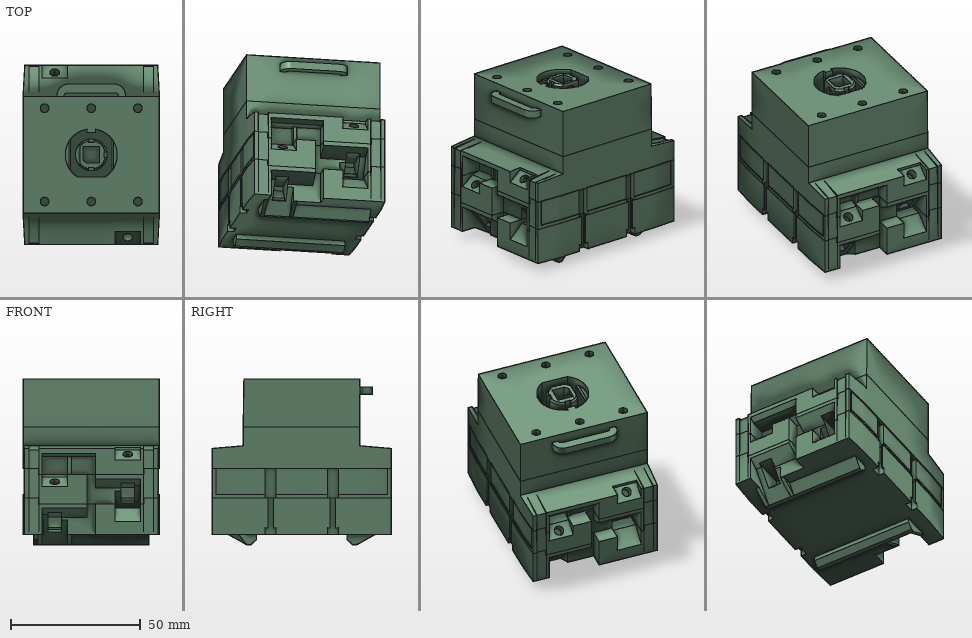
import cadquery as cq

WIDTH = 52.5
LENGTH = 69.2
HALF_X = WIDTH / 2
HALF_Y = LENGTH / 2
END_HALF_X = 25.7
DRAFT_START_Y = 24.1

BASE_TOP = 14.1
PITCH = 11.3
MIDDLE_TOP = BASE_TOP + PITCH
HOUSING_TOP = 41.4
HEAD_TOP = 60.1
OVERCUT = 3.45

BLEND_START_Y = 23.25
BLEND_END_Y = 24.9
NECK_FRONT_Y = 22.6
REAR_Y = 22.4
SHOULDER_EDGE_Z = 33.2
SHOULDER_NECK_Z = 34.25
HEAD_FRONT_TOP_Y = 22.35

TONGUE_HALF_X = 20.4
TONGUE_DROP = 2.3
TONGUE_BACK_Y = 24.9
STRIP_X = (20.15, 24.1)
STRIP_DEPTH = 0.55
STRIP_BOTTOM = 1.1
STRIP_BACK_Y = 24.1

POLE_X = (9.1, 19.0)
DIVIDER_HALF_X = 1.6
WALL_Y = 28.8

LINTEL_Z = 10.2
CEILING_SLOPE = 0.61
WALL_PART_X = (1.5, 11.4)
FUNNEL_FOOT_Y = 24.35
FUNNEL_SLOPE = 1.25

WIRE_HOLE_X = (11.4, 16.7)
WIRE_HOLE_Z = (0.9, 8.6)
WIRE_SILL = (22.85, 1.95)
WIRE_RAMP_FOOT_Z = 2.8
WIRE_RAMP_TOP = (19.4, 6.8)

RAMP_BACK_Y = 29.6
SCREW_RADIUS = 1.8
SCREW_DEPTH = 4.15
MIDDLE_SCREW_SHARE = 0.48
HOUSING_SCREW_SHARE = 0.57
BASE_SHELF = (28.6, 10.3)
BASE_RAMP_FRONT_Z = 5.05
BASE_SHELF_BACK_Y = 23.5
MIDDLE_RAMP_Z = (18.6, 22.3)
MIDDLE_SHELF_BACK_Y = 26.0
HOUSING_RAMP_Z = (28.7, 32.65)

RECESS_CEILING_Z = (31.35, 30.0)
HOUSING_WALL_Y = 27.95
RIB_WIDTH = 1.45
RIB_PROUD = 0.55

SLOT_Y = 12.0
SLOT_WIDTH = 4.2
SLOT_DEPTH = 2.4
SLOT_MOUTH = 2.0
SLOT_SKIN = 0.55
SLOT_OPEN_Z = 2.55
PANEL_DEPTH = 0.35
PANEL_BOTTOM = 15.5
PANEL_HALF_Y = 33.0

HOOK_DROP = 4.0
HOOK_TIP_Y = 19.6
HOOK_INNER = (17.4, -1.9)
HOOK_RIB_Y = 28.4
HOOK_FAR_X = 22.2

BOLT_PITCH = 18.0
BOLT_RADIUS = 1.65
BOLT_DEPTH = 6.9
WELL_RADIUS = 10.0
WELL_DEPTH = 13.85
WELL_FLAT_Y = 8.6
KEY_WIDTH = 3.2
LEDGE_X = (7.95, 8.65)
LEDGE_DROP = (3.45, 2.9)

SHAFT_RADIUS = 6.1
SHAFT_EDGE = (0.6, 0.8)
SHAFT_FLAT_X = 4.4
SHAFT_FORM_DEPTH = 6.9
NOTCH_WIDTH = 2.2
NOTCH_FLOOR = 4.85
SOCKET_SIDE = 6.4
SOCKET_CORNER = 1.4
SOCKET_DEPTH = 10.4
GRUB_HOLE_RADIUS = 2.35
GRUB_HOLE_DROP = 3.95

HASP_HALF_X = 13.15
HASP_OUTER_Y = 27.25
HASP_INNER_HALF_X = 10.6
HASP_INNER_Y = 23.9
HASP_Z = (54.05, 56.95)
HASP_OUTER_R = 4.15
HASP_INNER_R = 1.4


def box(x, y, z):
    """Box between pairs of limits."""
    size = (x[1] - x[0], y[1] - y[0], z[1] - z[0])
    return cq.Workplane("XY").box(*size, centered=False).translate((x[0], y[0], z[0]))


def prism_x(x, points):
    """Profile of (y, z) points carried along X between two limits."""
    return cq.Workplane("YZ", origin=(x[0], 0, 0)).polyline(points).close().extrude(x[1] - x[0])


def left(span):
    """X limits on the -X side for a span of distances from the middle plane."""
    return (-span[1], -span[0])


def half_turn(shape):
    """Shape turned half round the Z axis."""
    return shape.rotate((0, 0, 0), (0, 0, 1), 180)


def cut_both_ends(body, *cutters):
    """Cut features given for the -Y end, and again at the +Y end turned half round."""
    for cutter in cutters:
        body = body.cut(cutter).cut(half_turn(cutter))
    return body


def join_both_ends(body, *parts):
    for part in parts:
        body = body.union(part).union(half_turn(part))
    return body


def drafted_block(z, inset=0.0):
    """Module block whose side walls draft inwards near both ends."""
    side = HALF_X - inset
    end = END_HALF_X - inset
    side_line = [(end, -HALF_Y), (side, -DRAFT_START_Y), (side, DRAFT_START_Y), (end, HALF_Y)]
    outline = side_line + [(-x, -y) for x, y in side_line]
    return cq.Workplane("XY").workplane(offset=z[0]).polyline(outline).close().extrude(z[1] - z[0])


def blended_block(z):
    """Like the drafted block, with a narrow flat strip at each bend of the side walls."""
    draft = (HALF_X - END_HALF_X) / (HALF_Y - DRAFT_START_Y)
    blend_x = HALF_X - draft * (BLEND_END_Y - DRAFT_START_Y)
    bends = [(HALF_X, BLEND_START_Y), (blend_x, BLEND_END_Y), (END_HALF_X, HALF_Y)]
    side_line = [(x, -y) for x, y in reversed(bends)] + bends
    outline = side_line + [(-x, -y) for x, y in side_line]
    return cq.Workplane("XY").workplane(offset=z[0]).polyline(outline).close().extrude(z[1] - z[0])


def funnel_y(z):
    """Y of the sloping funnel face of the base at height z."""
    return -FUNNEL_FOOT_Y - z / FUNNEL_SLOPE


def tongue(module_bottom):
    """Lip below a module, at the -Y end."""
    x = (-TONGUE_HALF_X, TONGUE_HALF_X)
    return box(x, (-HALF_Y, -TONGUE_BACK_Y), (module_bottom - TONGUE_DROP, module_bottom))


def label_strip(x):
    """Groove over end face and shoulder, deepest at the shoulder edge and fading out both ways."""
    slope = (SHOULDER_NECK_Z - SHOULDER_EDGE_Z) / (HALF_Y - NECK_FRONT_Y)
    back_z = SHOULDER_EDGE_Z + slope * (HALF_Y - STRIP_BACK_Y)
    return prism_x(x, [
        (-HALF_Y, STRIP_BOTTOM), (-HALF_Y + STRIP_DEPTH, SHOULDER_EDGE_Z - STRIP_DEPTH),
        (-STRIP_BACK_Y, back_z), (-STRIP_BACK_Y, HOUSING_TOP), (-HALF_Y, HOUSING_TOP),
    ])


def label_strips():
    return label_strip(STRIP_X).union(label_strip(left(STRIP_X)))


def divider_groove(z):
    return box((-DIVIDER_HALF_X, DIVIDER_HALF_X), (-HALF_Y, -WALL_Y), z)


def wire_recess(bottom):
    """Wire recess of the base: sloping ceiling, plain wall part, funnel and wire hole."""
    wall_ceiling_z = LINTEL_Z - CEILING_SLOPE * (HALF_Y - WALL_Y)
    wall_part = prism_x(left(WALL_PART_X), [
        (-HALF_Y, bottom), (-HALF_Y, LINTEL_Z), (-WALL_Y, wall_ceiling_z), (-WALL_Y, bottom),
    ])
    funnel_gap = HALF_Y - FUNNEL_FOOT_Y - LINTEL_Z / FUNNEL_SLOPE
    meet_depth = funnel_gap / (1 - CEILING_SLOPE / FUNNEL_SLOPE)
    meet_z = LINTEL_Z - CEILING_SLOPE * meet_depth
    funnel = prism_x(left(POLE_X), [
        (-HALF_Y, bottom), (-HALF_Y, LINTEL_Z), (funnel_y(meet_z), meet_z), (funnel_y(bottom), bottom),
    ])
    low, high = WIRE_HOLE_Z
    sill_y, sill_z = WIRE_SILL
    ramp_y, ramp_z = WIRE_RAMP_TOP
    wire_hole = prism_x(left(WIRE_HOLE_X), [
        (funnel_y(low), low), (-sill_y, sill_z), (-sill_y, WIRE_RAMP_FOOT_Z), (-ramp_y, ramp_z),
        (-ramp_y, high), (-HALF_Y + (LINTEL_Z - high) / CEILING_SLOPE, high),
    ])
    return wall_part.union(funnel).union(wire_hole)


def screw_hole(x, ramp_z, share):
    """Hole square to a screw ramp, at a share of the way up it."""
    run = HALF_Y - RAMP_BACK_Y
    rise = ramp_z[1] - ramp_z[0]
    mouth = cq.Vector(x, -HALF_Y + share * run, ramp_z[0] + share * rise)
    inward = cq.Vector(0, rise, -run).normalized()
    start = mouth - inward * SCREW_RADIUS
    return cq.Workplane(cq.Solid.makeCylinder(SCREW_RADIUS, SCREW_DEPTH + SCREW_RADIUS, start, inward))


def side_slot(y, z):
    """Slot in the -X side wall."""
    return box((-HALF_X - OVERCUT, -HALF_X + SLOT_DEPTH), (y - SLOT_WIDTH / 2, y + SLOT_WIDTH / 2), z)


def undercut_slot(y):
    """Slot of the base, closed by a skin with a narrow mouth above its foot."""
    skin_x = (-HALF_X, -HALF_X + SLOT_SKIN)
    skin = box(skin_x, (y - SLOT_WIDTH / 2, y + SLOT_WIDTH / 2), (SLOT_OPEN_Z, BASE_TOP))
    mouth = box(skin_x, (y - SLOT_MOUTH / 2, y + SLOT_MOUTH / 2), (SLOT_OPEN_Z, BASE_TOP))
    return side_slot(y, (0, BASE_TOP)).cut(skin.cut(mouth))


def rail_hook():
    """Hook under the base, with two ribs carrying on the sides of the wire funnel."""
    def profile(outer_y):
        return [
            (outer_y, 0), (funnel_y(-HOOK_DROP), -HOOK_DROP), (-HOOK_TIP_Y, -HOOK_DROP),
            (-HOOK_INNER[0], HOOK_INNER[1]), (-HOOK_INNER[0], 0),
        ]
    hook = prism_x((-POLE_X[1] - RIB_WIDTH, HOOK_FAR_X), profile(-FUNNEL_FOOT_Y))
    for x in (-POLE_X[1] - RIB_WIDTH, -POLE_X[0]):
        hook = hook.union(prism_x((x, x + RIB_WIDTH), profile(-HOOK_RIB_Y)))
    return hook


def base_ramp():
    shelf_y, shelf_z = BASE_SHELF
    return prism_x(POLE_X, [
        (-HALF_Y, BASE_RAMP_FRONT_Z), (-shelf_y, shelf_z), (-BASE_SHELF_BACK_Y, shelf_z),
        (-BASE_SHELF_BACK_Y, BASE_TOP), (-HALF_Y, BASE_TOP),
    ])


def make_base():
    base = blended_block((0, BASE_TOP))
    base = cut_both_ends(
        base, tongue(BASE_TOP), label_strips(), divider_groove((0, BASE_TOP)), wire_recess(0), base_ramp(),
    )
    base = cut_both_ends(base, undercut_slot(-SLOT_Y), undercut_slot(SLOT_Y))
    return join_both_ends(base, rail_hook())


def funnel_foot():
    """Lower end of the middle funnel, resting on the shelf of the base."""
    return box(POLE_X, (-BASE_SHELF[0], -BASE_SHELF_BACK_Y), (BASE_SHELF[1], BASE_TOP))


def side_panels():
    z = (PANEL_BOTTOM, MIDDLE_TOP)
    reach = HALF_X + OVERCUT
    band = box((-reach, reach), (-PANEL_HALF_Y, PANEL_HALF_Y), z)
    return band.cut(drafted_block(z, PANEL_DEPTH))


def middle_ramp():
    front_z, back_z = MIDDLE_RAMP_Z
    shelf_end_z = MIDDLE_TOP - TONGUE_DROP
    return prism_x(left(POLE_X), [
        (-HALF_Y, front_z), (-RAMP_BACK_Y, back_z), (-MIDDLE_SHELF_BACK_Y, shelf_end_z),
        (-MIDDLE_SHELF_BACK_Y, MIDDLE_TOP), (-HALF_Y, MIDDLE_TOP),
    ])


def make_middle():
    z = (BASE_TOP, MIDDLE_TOP)
    middle = join_both_ends(drafted_block(z), tongue(BASE_TOP), funnel_foot())
    recess = wire_recess(BASE_SHELF[1] - PITCH).mirror("YZ").translate((0, 0, PITCH))
    screw_x = -sum(POLE_X) / 2
    middle = cut_both_ends(
        middle, tongue(MIDDLE_TOP), label_strips(), divider_groove((0, MIDDLE_TOP)), recess,
        middle_ramp(), screw_hole(screw_x, MIDDLE_RAMP_Z, MIDDLE_SCREW_SHARE),
        side_slot(-SLOT_Y, z), side_slot(SLOT_Y, z),
    )
    return middle.cut(side_panels())


def housing_recess():
    """Recess at the lower left of the end face, with a deeper terminal column and a rib."""
    front_z, back_z = RECESS_CEILING_Z
    bottom = MIDDLE_TOP - TONGUE_DROP
    slope_end_y = -HALF_Y + (front_z - back_z) / CEILING_SLOPE

    def part(x, wall_y):
        return prism_x(x, [
            (-HALF_Y, bottom), (-HALF_Y, front_z), (slope_end_y, back_z),
            (-wall_y, back_z), (-wall_y, bottom),
        ])
    inner, outer = POLE_X
    column = part((-outer, -inner), MIDDLE_SHELF_BACK_Y)
    rib_part = part((-inner, RIB_WIDTH - inner), HOUSING_WALL_Y + RIB_PROUD)
    wall_part = part((RIB_WIDTH - inner, DIVIDER_HALF_X), HOUSING_WALL_Y)
    return column.union(rib_part).union(wall_part)


def housing_ramp():
    front_z, back_z = HOUSING_RAMP_Z
    return prism_x(POLE_X, [
        (-HALF_Y, front_z), (-RAMP_BACK_Y, back_z), (-RAMP_BACK_Y, HOUSING_TOP), (-HALF_Y, HOUSING_TOP),
    ])


def make_housing():
    profile = prism_x((-HALF_X, HALF_X), [
        (-HALF_Y, MIDDLE_TOP), (-HALF_Y, SHOULDER_EDGE_Z),
        (-NECK_FRONT_Y, SHOULDER_NECK_Z), (-NECK_FRONT_Y, HOUSING_TOP),
        (REAR_Y, HOUSING_TOP), (REAR_Y, SHOULDER_NECK_Z), (HALF_Y, SHOULDER_EDGE_Z), (HALF_Y, MIDDLE_TOP),
    ])
    housing = profile.intersect(drafted_block((MIDDLE_TOP, HOUSING_TOP)))
    housing = join_both_ends(housing, tongue(MIDDLE_TOP))
    screw_x = sum(POLE_X) / 2
    return cut_both_ends(
        housing, label_strips(), housing_recess(), housing_ramp(),
        screw_hole(screw_x, HOUSING_RAMP_Z, HOUSING_SCREW_SHARE),
    )


def shaft_well():
    """Round well with a flat, a key and two bevelled side ledges left standing."""
    floor = HEAD_TOP - WELL_DEPTH
    well = cq.Workplane("XY").workplane(offset=floor).circle(WELL_RADIUS).extrude(WELL_DEPTH)
    wide = (-WELL_RADIUS, WELL_RADIUS)
    z = (floor, HEAD_TOP)
    well = well.cut(box(wide, (-WELL_RADIUS, -WELL_FLAT_Y), z))
    well = well.cut(box((-KEY_WIDTH / 2, KEY_WIDTH / 2), (WELL_FLAT_Y, WELL_RADIUS), z))
    ledge_profile = [
        (LEDGE_X[0], floor), (LEDGE_X[0], HEAD_TOP - LEDGE_DROP[0]), (LEDGE_X[1], HEAD_TOP - LEDGE_DROP[1]),
        (WELL_RADIUS, HEAD_TOP - LEDGE_DROP[1]), (WELL_RADIUS, floor),
    ]
    ledge = cq.Workplane("XZ").polyline(ledge_profile).close().extrude(WELL_RADIUS, both=True)
    return well.cut(ledge).cut(half_turn(ledge))


def make_head():
    head = prism_x((-HALF_X, HALF_X), [
        (-NECK_FRONT_Y, HOUSING_TOP), (-HEAD_FRONT_TOP_Y, HEAD_TOP),
        (REAR_Y, HEAD_TOP), (REAR_Y, HOUSING_TOP),
    ])
    bolt_points = [(x, y) for x in (-BOLT_PITCH, 0, BOLT_PITCH) for y in (-BOLT_PITCH, BOLT_PITCH)]
    bolts = cq.Workplane("XY").workplane(offset=HEAD_TOP - BOLT_DEPTH).pushPoints(bolt_points)
    bolts = bolts.circle(BOLT_RADIUS).extrude(BOLT_DEPTH)
    return head.cut(bolts).cut(shaft_well())


def make_shaft():
    floor = HEAD_TOP - WELL_DEPTH
    bevel_r, bevel_z = SHAFT_EDGE
    shaft = (
        cq.Workplane("XZ")
        .polyline([
            (0, floor), (SHAFT_RADIUS, floor), (SHAFT_RADIUS, HEAD_TOP - bevel_z),
            (SHAFT_RADIUS - bevel_r, HEAD_TOP), (0, HEAD_TOP),
        ])
        .close()
        .revolve(360, (0, 0, 0), (0, 1, 0))
    )
    form_z = (HEAD_TOP - SHAFT_FORM_DEPTH, HEAD_TOP)
    shaft = shaft.cut(box((-SHAFT_RADIUS, -SHAFT_FLAT_X), (-SHAFT_RADIUS, SHAFT_RADIUS), form_z))
    notch = box((NOTCH_FLOOR, SHAFT_RADIUS), (-NOTCH_WIDTH / 2, NOTCH_WIDTH / 2), form_z)
    for angle in (-90, 0, 90):
        shaft = shaft.cut(notch.rotate((0, 0, 0), (0, 0, 1), angle))
    half = SOCKET_SIDE / 2
    socket = box((-half, half), (-half, half), (HEAD_TOP - SOCKET_DEPTH, HEAD_TOP))
    socket = socket.edges("|Z and <X and <Y").chamfer(SOCKET_CORNER)
    grub = cq.Workplane("YZ", origin=(-SHAFT_RADIUS, 0, HEAD_TOP - GRUB_HOLE_DROP)).circle(GRUB_HOLE_RADIUS)
    return shaft.cut(socket).cut(grub.extrude(SHAFT_RADIUS))


def make_hasp():
    """Padlock loop standing out of the rear face of the head."""
    loop = box((-HASP_HALF_X, HASP_HALF_X), (REAR_Y, HASP_OUTER_Y), HASP_Z)
    loop = loop.edges("|Z and >Y").fillet(HASP_OUTER_R)
    opening = box((-HASP_INNER_HALF_X, HASP_INNER_HALF_X), (REAR_Y, HASP_INNER_Y), HASP_Z)
    return loop.cut(opening.edges("|Z and >Y").fillet(HASP_INNER_R))


base = make_base()
middle = make_middle()
housing = make_housing()
head = make_head()
shaft = make_shaft()
hasp = make_hasp()

result = cq.Compound.makeCompound([
    base.val(), middle.val(), housing.val(), head.val(), shaft.val(), hasp.val(),
])